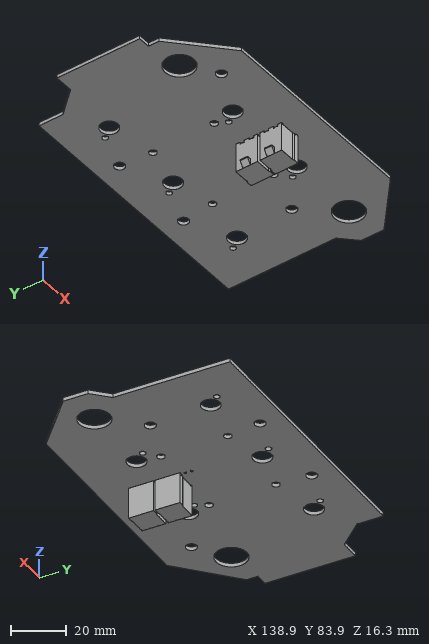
import cadquery as cq

BOARD_LENGTH = 138.9
BOARD_WIDTH = 83.9
BOARD_THICKNESS = 1.7
TOP_EDGE_LEFT_X = -51.7
TOP_EDGE_RIGHT_X = 62.9
UPPER_LEFT_CHAMFER_TOP_Y = 31.1
UPPER_LEFT_CHAMFER_END_X = -61.1
LEFT_EDGE_TOP_Y = 20.7
LEFT_EDGE_BOTTOM_Y = -16.5
LEFT_STEP_X = -64.2
LEFT_STEP_BOTTOM_Y = -21.3
BOTTOM_EDGE_LEFT_X = -42.1
BOTTOM_EDGE_RIGHT_X = 47.9
RIGHT_EDGE_BOTTOM_Y = -23.0
RIGHT_EDGE_TOP_Y = -12.8
RIGHT_NOTCH_Y = -6.3

SWITCH_PITCH = 38.6
UPPER_ROW_X = -35.7
UPPER_ROW_Y = 22.2
LOWER_ROW_Y = -18.9
SWITCH_HOLE_DIAMETER = 7.5
LED_HOLE_DIAMETER = 2.4
LED_OFFSET_X = 3.8
LED_OFFSET_Y = 4.6

LARGE_HOLE_DIAMETER = 12.6
LARGE_HOLE_POINTS = [(-48.6, LOWER_ROW_Y), (53.8, LOWER_ROW_Y)]
MOUNTING_HOLE_DIAMETER = 4.3
MOUNTING_HOLE_POINTS = [(-16.1, 32.1), (22.5, 32.1), (40.4, -3.2), (-36.0, -28.3)]
LOCATING_HOLE_DIAMETER = 3.0
LOCATING_HOLE_CENTER = (2.9, 4.2)
LOCATING_HOLE_SPACING_X = 36.0
LOCATING_HOLE_SPACING_Y = 27.5
VIA_DIAMETER = 0.9
VIA_X = 7.4
VIA_CENTER_Y = -5.7
VIA_SPACING = 2.5

CONNECTOR_CENTERS_Y = (-13.8, -24.6)
HOUSING_FRONT_X = -1.1
HOUSING_LENGTH = 9.6
HOUSING_HEIGHT = 12.9
HOUSING_FRONT_WIDTH = 9.7
HOUSING_BACK_WIDTH = 10.3
FLARE_START = 6.7
FLARE_END = 7.5

RELIEF_START = 0.7
RELIEF_END = 8.2
RELIEF_DEPTH = 0.4
PIN_NOTCH_WIDTH = 2.0
PIN_NOTCH_DEPTH = 0.7

LATCH_WIDTH = 3.3
LATCH_REACH = 1.7
LATCH_TOP_DROP = 10.0
LATCH_TIP_HEIGHT = 0.4

PIN_CENTER_X = 3.3
PIN_SPACING_X = 5.4
PIN_SPACING_Y = 4.2
PIN_SIZE = 0.8
PIN_TIP_THICKNESS = 0.3
PIN_PROTRUSION = 1.7
PIN_HOLE_DIAMETER = 1.4


def drill(board, points, diameter):
    holes = cq.Workplane("XY").pushPoints(points).circle(diameter / 2).extrude(BOARD_THICKNESS)
    return board.cut(holes)


def switch_points():
    upper = [(UPPER_ROW_X + i * SWITCH_PITCH, UPPER_ROW_Y) for i in range(3)]
    lower = [(UPPER_ROW_X + (i + 0.5) * SWITCH_PITCH, LOWER_ROW_Y) for i in range(2)]
    return upper + lower


def pin_points(center_y):
    return [
        (PIN_CENTER_X + side_x * PIN_SPACING_X / 2, center_y + side_y * PIN_SPACING_Y / 2)
        for side_x in (-1, 1)
        for side_y in (-1, 1)
    ]


def make_board():
    half_length = BOARD_LENGTH / 2
    half_width = BOARD_WIDTH / 2
    outline = [
        (TOP_EDGE_LEFT_X, half_width),
        (TOP_EDGE_RIGHT_X, half_width),
        (TOP_EDGE_RIGHT_X, RIGHT_NOTCH_Y),
        (half_length, RIGHT_EDGE_TOP_Y),
        (half_length, RIGHT_EDGE_BOTTOM_Y),
        (BOTTOM_EDGE_RIGHT_X, -half_width),
        (BOTTOM_EDGE_LEFT_X, -half_width),
        (LEFT_STEP_X, LEFT_STEP_BOTTOM_Y),
        (LEFT_STEP_X, LEFT_EDGE_BOTTOM_Y),
        (-half_length, LEFT_EDGE_BOTTOM_Y),
        (-half_length, LEFT_EDGE_TOP_Y),
        (UPPER_LEFT_CHAMFER_END_X, LEFT_EDGE_TOP_Y),
        (TOP_EDGE_LEFT_X, UPPER_LEFT_CHAMFER_TOP_Y),
    ]
    board = cq.Workplane("XY").polyline(outline).close().extrude(BOARD_THICKNESS)

    switches = switch_points()
    leds = [(x + LED_OFFSET_X, y + LED_OFFSET_Y) for x, y in switches]
    locating_x, locating_y = LOCATING_HOLE_CENTER
    locators = [
        (locating_x + side_x * LOCATING_HOLE_SPACING_X / 2, locating_y + side_y * LOCATING_HOLE_SPACING_Y / 2)
        for side_x in (-1, 1)
        for side_y in (-1, 1)
    ]
    vias = [(VIA_X, VIA_CENTER_Y + side * VIA_SPACING / 2) for side in (-1, 1)]

    board = drill(board, switches, SWITCH_HOLE_DIAMETER)
    board = drill(board, leds, LED_HOLE_DIAMETER)
    board = drill(board, LARGE_HOLE_POINTS, LARGE_HOLE_DIAMETER)
    board = drill(board, MOUNTING_HOLE_POINTS, MOUNTING_HOLE_DIAMETER)
    board = drill(board, locators, LOCATING_HOLE_DIAMETER)
    board = drill(board, vias, VIA_DIAMETER)
    for center_y in CONNECTOR_CENTERS_Y:
        board = drill(board, pin_points(center_y), PIN_HOLE_DIAMETER)
    return board


def make_housing(center_y):
    """Block that flares to a wider back part, with a relief and two notches in its top."""
    back_x = HOUSING_FRONT_X + HOUSING_LENGTH
    half_front = HOUSING_FRONT_WIDTH / 2
    half_back = HOUSING_BACK_WIDTH / 2
    profile = [
        (HOUSING_FRONT_X, -half_front),
        (HOUSING_FRONT_X + FLARE_START, -half_front),
        (HOUSING_FRONT_X + FLARE_END, -half_back),
        (back_x, -half_back),
        (back_x, half_back),
        (HOUSING_FRONT_X + FLARE_END, half_back),
        (HOUSING_FRONT_X + FLARE_START, half_front),
        (HOUSING_FRONT_X, half_front),
    ]
    housing = cq.Workplane("XY").polyline(profile).close().extrude(-HOUSING_HEIGHT)
    relief = (
        cq.Workplane("XY")
        .center(HOUSING_FRONT_X + (RELIEF_START + RELIEF_END) / 2, 0)
        .rect(RELIEF_END - RELIEF_START, HOUSING_BACK_WIDTH)
        .extrude(-RELIEF_DEPTH)
    )
    notch_center_x = HOUSING_FRONT_X + RELIEF_END / 2
    notches = (
        cq.Workplane("XY")
        .pushPoints([(notch_center_x, side * PIN_SPACING_Y / 2) for side in (-1, 1)])
        .rect(RELIEF_END, PIN_NOTCH_WIDTH)
        .extrude(-PIN_NOTCH_DEPTH)
    )
    return housing.cut(relief).cut(notches).translate((0, center_y, 0))


def make_latch(center_y):
    tip_x = HOUSING_FRONT_X - LATCH_REACH
    profile = [
        (HOUSING_FRONT_X, -LATCH_TOP_DROP),
        (tip_x, -LATCH_TOP_DROP),
        (tip_x, -LATCH_TOP_DROP - LATCH_TIP_HEIGHT),
        (HOUSING_FRONT_X, -HOUSING_HEIGHT),
    ]
    latch = cq.Workplane("XZ").polyline(profile).close().extrude(LATCH_WIDTH / 2, both=True)
    return latch.translate((0, center_y, 0))


def make_pin(x, y):
    """Pin whose outer side is straight and whose side facing the other column leans to the tip."""
    outward = 1 if x > PIN_CENTER_X else -1
    outer_x = x + outward * PIN_SIZE / 2
    inner_x = x - outward * PIN_SIZE / 2
    tip_inner_x = outer_x - outward * PIN_TIP_THICKNESS
    tip_z = BOARD_THICKNESS + PIN_PROTRUSION
    profile = [
        (outer_x, -PIN_NOTCH_DEPTH),
        (outer_x, tip_z),
        (tip_inner_x, tip_z),
        (inner_x, BOARD_THICKNESS),
        (inner_x, -PIN_NOTCH_DEPTH),
    ]
    pin = cq.Workplane("XZ").polyline(profile).close().extrude(PIN_SIZE / 2, both=True)
    return pin.translate((0, y, 0))


def make_connector(center_y):
    connector = make_housing(center_y).union(make_latch(center_y))
    for x, y in pin_points(center_y):
        connector = connector.union(make_pin(x, y))
    return connector


board = make_board()
connectors = [make_connector(center_y) for center_y in CONNECTOR_CENTERS_Y]

result = cq.Compound.makeCompound([board.val(), *[connector.val() for connector in connectors]])